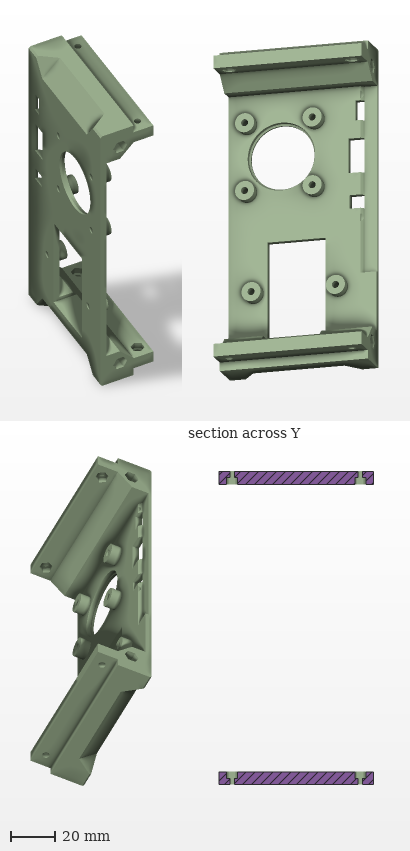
import cadquery as cq
import math

WIDTH = 70.0
HEIGHT = 150.0
DEPTH = 27.0
LEFT_X = -WIDTH / 2

PLATE_THICKNESS = 3.2

EAR_SIZE = 10.0
BLOCK_HEIGHT = 17.1
BLOCK_BACK_Y = DEPTH - EAR_SIZE
BLOCK_FLAT_Y = DEPTH - BLOCK_HEIGHT
EAR_SETBACK = 4.0
FRONT_CHAMFER = 0.9

CROSS_HOLE_FLATS = 6.0
CROSS_HOLE_Y = DEPTH - 17.0

SCREW_DIAMETER = 3.3
EAR_HOLE_INSET = 6.0
EAR_HOLE_Y = DEPTH - 5.0
NUT_FLATS = 5.5
NUT_POCKET_DEPTH = 3.0

SCOOP_SIZE = 9.0
SCOOP_INNER_WIDTH = 43.2
SCOOP_CORNER_WIDTH = 56.4

FAN_X = 10.0
FAN_Z = 27.9
FAN_DIAMETER = 30.0
FAN_BORE_DIAMETER = 32.0
FAN_LIP_THICKNESS = 1.0
FAN_HOLE_SPACING = 32.0

WINDOW_X = 3.0
WINDOW_Z = -36.0
WINDOW_WIDTH = 27.5
WINDOW_HEIGHT = 47.7
WINDOW_HOLE_SPACING = 39.9

BOSS_DIAMETER = 9.0
BOSS_LENGTH = 4.8

SLOT_INSET = 6.2
SLOT_LEFT_X = LEFT_X + SLOT_INSET
SLOTS = [
    (3.9, 9.3, 46.6),
    (7.2, 16.2, 25.5),
    (6.6, 6.3, 3.8),
]

RECESS_FLOOR_Y = 1.6
RAMP_END_X = SLOT_LEFT_X + PLATE_THICKNESS - RECESS_FLOOR_Y
RECESS_TOP_Z = HEIGHT / 2 - BLOCK_HEIGHT
RECESS_BOTTOM_Z = -30.0

GROOVE_DIAMETER = 4.5
GROOVE_Y = PLATE_THICKNESS + 1.2
GROOVE_ZS = (54.0, -3.9)


def hexagon_across_corners(across_flats):
    return across_flats / math.cos(math.pi / 6)


def plate_workplane(y=0):
    """Plane at the given y, with X and Z as its local axes."""
    return cq.Workplane("XZ", origin=(0, y, 0))


def extrude_back(profile, length=DEPTH):
    """Extrude a profile drawn on a plate workplane towards +Y."""
    return profile.extrude(-length)


def make_plate():
    return cq.Workplane("XY").box(WIDTH, PLATE_THICKNESS, HEIGHT).translate((0, PLATE_THICKNESS / 2, 0))


def make_top_block():
    top = HEIGHT / 2
    ear_bottom = top - EAR_SIZE
    block_bottom = top - BLOCK_HEIGHT
    profile = [
        (0, top),
        (BLOCK_BACK_Y, top),
        (BLOCK_BACK_Y, top - EAR_SETBACK),
        (DEPTH, top - EAR_SETBACK),
        (DEPTH, ear_bottom),
        (BLOCK_BACK_Y, ear_bottom),
        (BLOCK_FLAT_Y, block_bottom),
        (0, block_bottom),
    ]
    block = cq.Workplane("YZ").polyline(profile).close().extrude(WIDTH / 2, both=True)

    cross_hole = (
        cq.Workplane("YZ")
        .center(CROSS_HOLE_Y, ear_bottom)
        .polygon(6, hexagon_across_corners(CROSS_HOLE_FLATS))
        .extrude(WIDTH / 2, both=True)
    )
    hole_x = WIDTH / 2 - EAR_HOLE_INSET
    hole_centres = [(-hole_x, EAR_HOLE_Y), (hole_x, EAR_HOLE_Y)]
    ear = cq.Workplane("XY", origin=(0, 0, ear_bottom)).pushPoints(hole_centres)
    screw_holes = ear.circle(SCREW_DIAMETER / 2).extrude(EAR_SIZE)
    nut_pockets = ear.polygon(6, hexagon_across_corners(NUT_FLATS)).extrude(NUT_POCKET_DEPTH)
    return block.cut(cross_hole).cut(screw_holes).cut(nut_pockets)


def make_top_scoop():
    """Trapezoidal bar lying along the 45 degree slope of the top front edge."""
    slope_plane = cq.Plane(origin=(0, 0, HEIGHT / 2), xDir=(1, 0, 0), normal=(0, 1, 1))
    depth = SCOOP_SIZE / math.sqrt(2)
    inner = SCOOP_INNER_WIDTH / 2
    corner = SCOOP_CORNER_WIDTH / 2
    outline = [(-inner, depth), (inner, depth), (corner, 0), (-corner, 0)]
    return cq.Workplane(slope_plane).polyline(outline).close().extrude(SCOOP_SIZE, both=True)


def make_recess():
    outline = [
        (LEFT_X, RECESS_FLOOR_Y),
        (LEFT_X, PLATE_THICKNESS),
        (RAMP_END_X, PLATE_THICKNESS),
        (SLOT_LEFT_X, RECESS_FLOOR_Y),
    ]
    recess = cq.Workplane("XY", origin=(0, 0, RECESS_BOTTOM_Z)).polyline(outline).close()
    recess = recess.extrude(RECESS_TOP_Z - RECESS_BOTTOM_Z)
    grooves = (
        cq.Workplane("YZ", origin=(LEFT_X, 0, 0))
        .pushPoints([(GROOVE_Y, z) for z in GROOVE_ZS])
        .circle(GROOVE_DIAMETER / 2)
        .extrude(RAMP_END_X - LEFT_X)
    )
    return recess.union(grooves)


def screw_positions():
    """X and Z of the four fan screws and the two socket screws."""
    fan = FAN_HOLE_SPACING / 2
    window = WINDOW_HOLE_SPACING / 2
    fan_screws = [(FAN_X + i * fan, FAN_Z + j * fan) for i in (-1, 1) for j in (-1, 1)]
    window_screws = [(WINDOW_X + i * window, WINDOW_Z) for i in (-1, 1)]
    return fan_screws + window_screws


def make_openings():
    fan = plate_workplane().center(FAN_X, FAN_Z).circle(FAN_DIAMETER / 2)
    fan_bore = plate_workplane(FAN_LIP_THICKNESS).center(FAN_X, FAN_Z).circle(FAN_BORE_DIAMETER / 2)
    window = plate_workplane().center(WINDOW_X, WINDOW_Z).rect(WINDOW_WIDTH, WINDOW_HEIGHT)
    openings = extrude_back(fan).union(extrude_back(fan_bore)).union(extrude_back(window))
    for width, height, z in SLOTS:
        slot = plate_workplane().center(SLOT_LEFT_X + width / 2, z).rect(width, height)
        openings = openings.union(extrude_back(slot))
    return openings


top_block = make_top_block()
top_scoop = make_top_scoop()
body = make_plate().union(top_block).union(top_block.mirror("XY"))
body = body.faces("<Y").edges("|X").chamfer(FRONT_CHAMFER)
body = body.cut(top_scoop).cut(top_scoop.mirror("XY"))
body = body.cut(make_recess())

screws = plate_workplane().pushPoints(screw_positions())
body = body.union(extrude_back(screws.circle(BOSS_DIAMETER / 2), PLATE_THICKNESS + BOSS_LENGTH))
body = body.cut(extrude_back(screws.circle(SCREW_DIAMETER / 2)))

result = body.cut(make_openings())